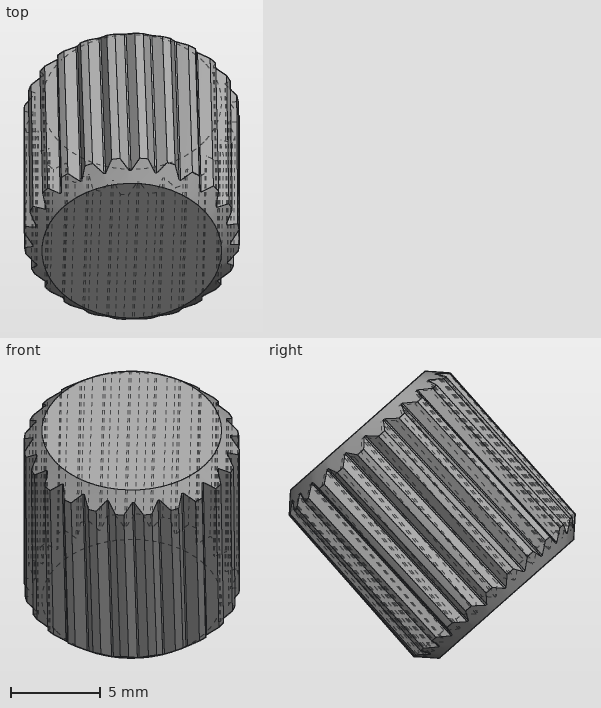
import cadquery as cq
import math

outer_diameter = 12.0
length = 12.5
chamfer = 1.0
tilt = 41.45

groove_count = 24
groove_depth = 0.5
groove_floor_width = 0.1
groove_width = groove_floor_width + 2 * groove_depth
helix_twist = -3.15
groove_phase = 0.75

outer_radius = outer_diameter / 2
floor_radius = outer_radius - groove_depth


def polar(radius, angle):
    """Point at the given radius and angle (radians) in the cross-section."""
    return (radius * math.cos(angle), radius * math.sin(angle))


def toothed_section():
    """Cross-section: a circle with evenly spaced trapezoidal notches."""
    pitch = 2 * math.pi / groove_count
    half_opening = math.asin(groove_width / 2 / outer_radius)
    half_floor = math.asin(groove_floor_width / 2 / floor_radius)
    section = cq.Workplane("XY").moveTo(*polar(outer_radius, -half_opening))
    for index in range(groove_count):
        center = index * pitch
        section = (
            section.lineTo(*polar(floor_radius, center - half_floor))
            .lineTo(*polar(floor_radius, center + half_floor))
            .lineTo(*polar(outer_radius, center + half_opening))
            .threePointArc(
                polar(outer_radius, center + pitch / 2),
                polar(outer_radius, center + pitch - half_opening),
            )
        )
    return section.close()


def toothed_bar():
    """Helically toothed bar, wound so that the phase is reached at the upper end."""
    bar = toothed_section().twistExtrude(length, helix_twist)
    return bar.rotate((0, 0, 0), (0, 0, 1), groove_phase - helix_twist)


def chamfered_envelope():
    """Plain cylinder chamfered at both ends."""
    return cq.Workplane("XY").circle(outer_radius).extrude(length).faces("|Z").chamfer(chamfer)


upright = toothed_bar().intersect(chamfered_envelope())
centered = upright.translate((0, 0, -length / 2))
result = centered.rotate((0, 0, 0), (1, 0, 0), tilt)